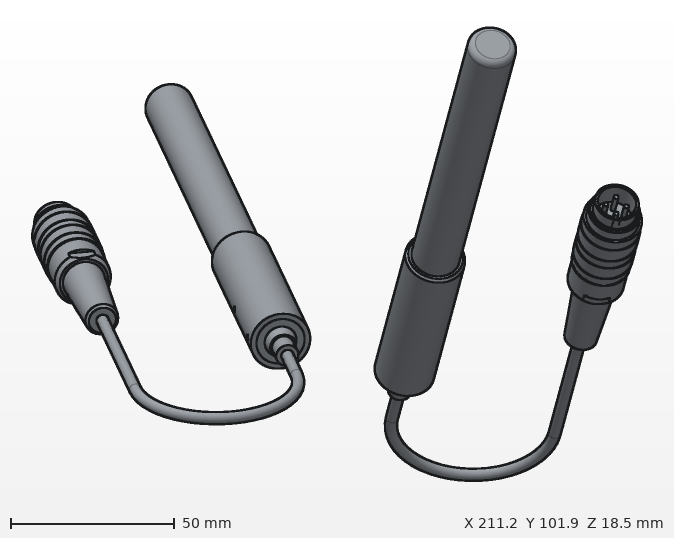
import cadquery as cq
LAYOUT_ANGLE = -13.0

ROD_DIA = 15.0
ROD_TIP_FILLET = 2.1
NECK_BASE_DIA = 10.0
NECK_END_DIA = 8.0
NECK_LENGTH = 3.8
NIPPLE_DIA = 7.0
NIPPLE_LENGTH = 6.3

HANDLE_DIA = 18.5
HANDLE_START = 109.9
HANDLE_END = 169.5
HANDLE_CHAMFER = 0.8
HANDLE_HOLE_DIA = 1.7
HANDLE_HOLE_STATIONS = (144.7, 164.6)

CABLE_DIA = 3.8
BEND_START = 193.5
BEND_RADIUS = 25.1

PLUG_START = 73.7
NOSE_DIA = 13.5
SOCKET_DIA = 11.8
SOCKET_DEPTH = 7.8
NOSE_END = 78.2
SHOULDER_LIP_DIA = 15.0
SHOULDER_START_DIA = 16.0
SHOULDER_START = 78.6
SHOULDER_END_DIA = 16.5
GRIP_LOW_DIA = 18.2
GRIP_HIGH_DIA = 18.5
GRIP_STATIONS = (82.0, 86.0, 91.7, 95.3, 100.8, 104.5)
COLLAR_DIA = 17.5
COLLAR_REAR_DIA = 15.0
COLLAR_CHAMFER_START = 114.5
PLUG_END = 116.2
FLAT_HEIGHT = 7.8
FLAT_LENGTH = 4.2

PIN_COUNT = 4
PIN_DIA = 1.5
PIN_LENGTH = 6.3
PIN_CIRCLE_DIA = 6.3
KEYWAY_WIDTH = 2.0
KEYWAY_REACH = 6.3

BOOT_BASE_DIA = 13.0
BOOT_END_DIA = 10.1
BOOT_END = 144.1
BOOT_CHAMFER = 0.8

NECK_END = HANDLE_END + NECK_LENGTH
NIPPLE_END = NECK_END + NIPPLE_LENGTH
HANDLE_LENGTH = HANDLE_END - HANDLE_START
PLUG_AXIS_Y = -2 * BEND_RADIUS
SOCKET_FLOOR = PLUG_START + SOCKET_DEPTH


def turned(profile, axis_y=0.0):
    """Solid of revolution about a line parallel to X, from (station, diameter) steps."""
    outline = [(profile[0][0], 0)]
    outline += [(station, diameter / 2) for station, diameter in profile]
    outline += [(profile[-1][0], 0)]
    solid = cq.Workplane("XY").polyline(outline).close().revolve(360, (0, 0, 0), (1, 0, 0))
    return solid.translate((0, axis_y, 0))


def bar_along_x(start, length, diameter, axis_y=0.0):
    """Round bar parallel to X, starting at the given station."""
    return cq.Workplane("YZ", origin=(start, axis_y, 0)).circle(diameter / 2).extrude(length)


def make_probe():
    rod = bar_along_x(0, HANDLE_END, ROD_DIA).faces("<X").edges().fillet(ROD_TIP_FILLET)
    nipple = turned([
        (HANDLE_END, NECK_BASE_DIA),
        (NECK_END, NECK_END_DIA),
        (NECK_END, NIPPLE_DIA),
        (NIPPLE_END, NIPPLE_DIA),
    ])
    return rod.union(nipple)


def make_handle():
    sleeve = bar_along_x(HANDLE_START, HANDLE_LENGTH, HANDLE_DIA)
    sleeve = sleeve.faces("<X").edges().chamfer(HANDLE_CHAMFER)
    sleeve = sleeve.cut(bar_along_x(HANDLE_START, HANDLE_LENGTH, ROD_DIA))
    for station in HANDLE_HOLE_STATIONS:
        hole = (
            cq.Workplane("XZ", origin=(station, 0, 0))
            .circle(HANDLE_HOLE_DIA / 2)
            .extrude(HANDLE_DIA)
        )
        sleeve = sleeve.cut(hole)
    return sleeve


def make_cable():
    path = (
        cq.Workplane("XY")
        .moveTo(NIPPLE_END, 0)
        .lineTo(BEND_START, 0)
        .threePointArc(
            (BEND_START + BEND_RADIUS, -BEND_RADIUS),
            (BEND_START, PLUG_AXIS_Y),
        )
        .lineTo(BOOT_END, PLUG_AXIS_Y)
    )
    return cq.Workplane("YZ", origin=(NIPPLE_END, 0, 0)).circle(CABLE_DIA / 2).sweep(path)


def plug_outside():
    profile = [
        (PLUG_START, NOSE_DIA),
        (NOSE_END, NOSE_DIA),
        (NOSE_END, SHOULDER_LIP_DIA),
        (SHOULDER_START, SHOULDER_START_DIA),
        (GRIP_STATIONS[0], SHOULDER_END_DIA),
    ]
    for ring, (start, end) in enumerate(zip(GRIP_STATIONS, GRIP_STATIONS[1:])):
        diameter = GRIP_LOW_DIA if ring % 2 == 0 else GRIP_HIGH_DIA
        profile += [(start, diameter), (end, diameter)]
    profile += [
        (GRIP_STATIONS[-1], COLLAR_DIA),
        (COLLAR_CHAMFER_START, COLLAR_DIA),
        (PLUG_END, COLLAR_REAR_DIA),
    ]
    return turned(profile, PLUG_AXIS_Y)


def collar_flats():
    """Blocks that cut the flats above and below the rear of the collar."""
    blocks = cq.Workplane("XY")
    for side in (1, -1):
        block = cq.Workplane("XY").box(FLAT_LENGTH, COLLAR_DIA, FLAT_HEIGHT)
        block_center = (PLUG_END - FLAT_LENGTH / 2, PLUG_AXIS_Y, side * 1.5 * FLAT_HEIGHT)
        blocks = blocks.add(block.translate(block_center))
    return blocks.combine()


def socket_keyway():
    """Slot along the bottom of the socket wall."""
    slot = cq.Workplane("XY").box(
        SOCKET_DEPTH, KEYWAY_WIDTH, KEYWAY_REACH, centered=(False, True, False)
    )
    return slot.translate((PLUG_START, PLUG_AXIS_Y, -KEYWAY_REACH))


def contact_pins():
    """Pins standing on the socket floor, fixed in the plug."""
    return (
        cq.Workplane("YZ", origin=(SOCKET_FLOOR, PLUG_AXIS_Y, 0))
        .polarArray(PIN_CIRCLE_DIA / 2, 0, 360, PIN_COUNT)
        .circle(PIN_DIA / 2)
        .extrude(-PIN_LENGTH)
    )


def make_plug():
    plug = plug_outside().cut(collar_flats())
    plug = plug.cut(bar_along_x(PLUG_START, SOCKET_DEPTH, SOCKET_DIA, PLUG_AXIS_Y))
    plug = plug.cut(socket_keyway())
    return plug.union(contact_pins())


def make_boot():
    boot = turned([(PLUG_END, BOOT_BASE_DIA), (BOOT_END, BOOT_END_DIA)], PLUG_AXIS_Y)
    return boot.faces(">X").edges().chamfer(BOOT_CHAMFER)


def placed(body):
    """The body turned in plan to its final direction."""
    return body.rotate((0, 0, 0), (0, 0, 1), LAYOUT_ANGLE).val()


probe = placed(make_probe())
handle = placed(make_handle())
cable = placed(make_cable())
plug = placed(make_plug())
boot = placed(make_boot())

result = cq.Compound.makeCompound([probe, handle, cable, plug, boot])